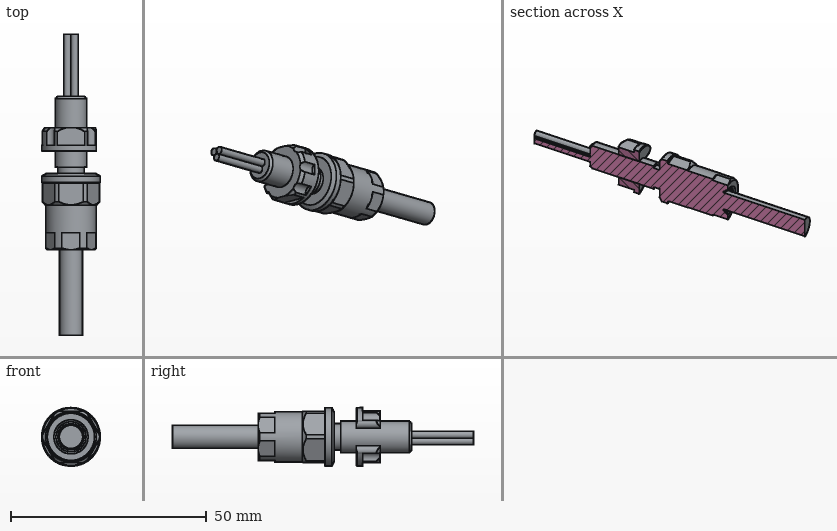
import cadquery as cq
import math


wire_dia = 1.9
wire_pitch_radius = 1.08
wire_count = 3
first_wire_angle = 30
wire_tip_y = 35.6
cable_dia = 5.95
overall_length = 77.0
cable_end_y = wire_tip_y - overall_length

thread_dia = 8.15
thread_tip_y = 19.75
thread_start_y = 1.6
thread_chamfer = 0.65
neck_dia = 6.85

flange_dia = 15.0
flange_face_dia = 12.6
flange_cone_length = 0.65
flange_back_y = -2.5
flange_chamfer = 0.2
hex_across_flats = 13.2
hex_corner_dia = 14.65
hex_end_dia = 12.95
hex_chamfer_length = 0.95
hex_end_y = -8.15

cap_dia = 12.95
cap_end_y = -19.5
cap_flats_start_y = -15.2
cap_across_flats = 12.1
cap_chamfer_length = 0.45
cap_chamfer_width = 0.45

entry_mouth_dia = 8.75
entry_bore_dia = 7.7
entry_cone_length = 0.35
entry_bore_depth = 0.7
entry_clearance_dia = 6.7
entry_clearance_depth = 1.2

nut_dia = 15.0
nut_front_y = 5.65
nut_flange_thickness = 1.6
nut_length = 6.05
nut_end_dia = 13.5
nut_end_chamfer_length = 0.95
nut_across_flats = 13.3
nut_slot_width = 4.5
nut_lip_radius = 1.2
nut_end_y = nut_front_y + nut_length
nut_grip_y = nut_front_y + nut_flange_thickness
flute_angles = (45, 135, 180, 225, 315)
flute_radius = 1.5
flute_center_radius = 8.0


def revolved(points):
    """Solid of revolution about the Y axis from (radius, y) points."""
    return cq.Workplane("XY").polyline(points).close().revolve(360, (0, 0, 0), (0, 1, 0))


def rod(diameter, start_y, end_y, x=0.0, z=0.0):
    """Cylinder along Y between two Y positions."""
    return (
        cq.Workplane("XZ", origin=(0, end_y, 0))
        .center(x, z)
        .circle(diameter / 2)
        .extrude(end_y - start_y)
    )


def hexagon(across_flats, start_y, end_y):
    """Hexagonal prism along Y with two of its flats facing +Z and -Z."""
    corner_dia = across_flats / math.cos(math.pi / 6)
    return cq.Workplane("XZ", origin=(0, end_y, 0)).polygon(6, corner_dia).extrude(end_y - start_y)


def make_spigot():
    """Neck and chamfered threaded spigot."""
    neck = rod(neck_dia, flange_back_y, thread_start_y)
    thread = rod(thread_dia, thread_start_y, thread_tip_y).faces(">Y").chamfer(thread_chamfer)
    return neck.union(thread)


def make_flange():
    """Flange with a conical front and a chamfered rear edge."""
    radius = flange_dia / 2
    return revolved([
        (0, 0),
        (flange_face_dia / 2, 0),
        (radius, -flange_cone_length),
        (radius, flange_back_y + flange_chamfer),
        (radius - flange_chamfer, flange_back_y),
        (0, flange_back_y),
    ])


def make_wrench_hex():
    """Hexagon turned down at its corners and chamfered at the cap end."""
    turned = revolved([
        (0, flange_back_y),
        (hex_corner_dia / 2, flange_back_y),
        (hex_corner_dia / 2, hex_end_y + hex_chamfer_length),
        (hex_end_dia / 2, hex_end_y),
        (0, hex_end_y),
    ])
    return turned.intersect(hexagon(hex_across_flats, hex_end_y, flange_back_y))


def make_cap():
    """Round cap with six short flats and a stepped cable entry."""
    radius = cap_dia / 2
    plain = rod(cap_dia, cap_flats_start_y, hex_end_y)
    turned_end = revolved([
        (0, cap_flats_start_y),
        (radius, cap_flats_start_y),
        (radius, cap_end_y + cap_chamfer_length),
        (radius - cap_chamfer_width, cap_end_y),
        (0, cap_end_y),
    ])
    flatted_end = turned_end.intersect(hexagon(cap_across_flats, cap_end_y, cap_flats_start_y))
    entry = revolved([
        (0, cap_end_y),
        (entry_mouth_dia / 2, cap_end_y),
        (entry_bore_dia / 2, cap_end_y + entry_cone_length),
        (entry_bore_dia / 2, cap_end_y + entry_bore_depth),
        (entry_clearance_dia / 2, cap_end_y + entry_bore_depth),
        (entry_clearance_dia / 2, cap_end_y + entry_clearance_depth),
        (0, cap_end_y + entry_clearance_depth),
    ])
    return plain.union(flatted_end).cut(entry)


def make_wires():
    """Bundle of wires, two on top and one below."""
    wires = cq.Workplane("XZ")
    for index in range(wire_count):
        angle = math.radians(first_wire_angle + index * 360 / wire_count)
        x = wire_pitch_radius * math.cos(angle)
        z = wire_pitch_radius * math.sin(angle)
        wires = wires.union(rod(wire_dia, thread_tip_y, wire_tip_y, x, z))
    return wires


def make_gland():
    """Gland with the cable and wires moulded in."""
    cable = rod(cable_dia, cable_end_y, cap_end_y + entry_clearance_depth)
    gland = make_spigot()
    for portion in (make_flange(), make_wrench_hex(), make_cap(), cable, make_wires()):
        gland = gland.union(portion)
    return gland


def make_nut_outline():
    """Round blank with the thread bore and a side slot whose lips are rounded."""
    blank = rod(nut_dia, nut_front_y, nut_end_y)
    slot = cq.Workplane("XY").box(nut_dia, nut_length, nut_slot_width).translate(
        (nut_dia / 2, nut_front_y + nut_length / 2, 0)
    )
    lips = blank.cut(slot).edges("|Y and >X").fillet(nut_lip_radius)
    return lips.cut(rod(thread_dia, nut_front_y, nut_end_y))


def make_nut():
    """Slotted nut: flange, fluted grip with two flats and a side slot towards +X."""
    radius = nut_dia / 2
    nut = revolved([
        (0, nut_front_y),
        (radius - flange_chamfer, nut_front_y),
        (radius, nut_front_y + flange_chamfer),
        (radius, nut_end_y - nut_end_chamfer_length),
        (nut_end_dia / 2, nut_end_y),
        (0, nut_end_y),
    ]).intersect(make_nut_outline())

    for bearing in flute_angles:
        angle = math.radians(bearing)
        x = flute_center_radius * math.cos(angle)
        z = flute_center_radius * math.sin(angle)
        nut = nut.cut(rod(2 * flute_radius, nut_grip_y, nut_end_y, x, z))

    grip_length = nut_end_y - nut_grip_y
    for side in (-1, 1):
        flat_cut = cq.Workplane("XY").box(nut_dia, grip_length, nut_dia).translate(
            (0, nut_grip_y + grip_length / 2, side * (nut_across_flats + nut_dia) / 2)
        )
        nut = nut.cut(flat_cut)
    return nut


gland = make_gland()
nut = make_nut()

result = cq.Compound.makeCompound([gland.solids().val(), nut.solids().val()])